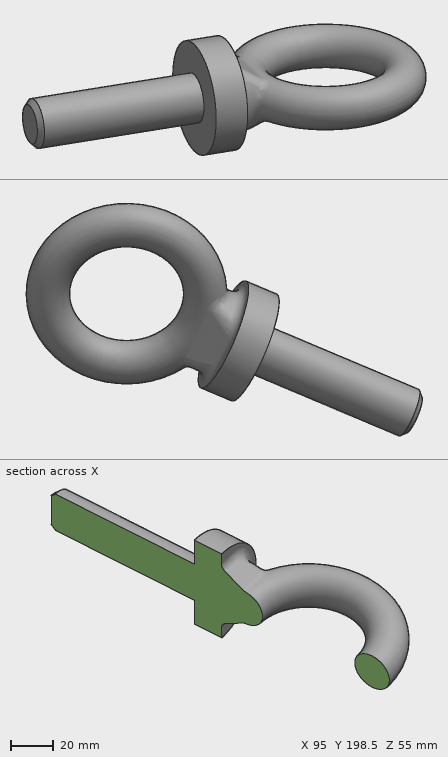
import cadquery as cq

total_length = 198.5
ring_outer_diameter = 95.0
bar_diameter = 20.6
collar_diameter = 55.0
collar_thickness = 16.0
shank_diameter = 24.0
shank_length = 84.0
shank_chamfer = 2.5

neck_diameter = 40.9
neck_flat_top = 13.5
neck_flat_spread = 8.0
neck_embedment = 4.0
neck_ridge_radius = 6.0
neck_blend_radius = 4.8
seam_margin = 1.0

ring_radius = (ring_outer_diameter - bar_diameter) / 2
shank_end = ring_outer_diameter / 2 - total_length
collar_bottom = shank_end + shank_length
collar_top = collar_bottom + collar_thickness


def rod(diameter, start, length):
    """Cylinder along +Y, beginning at the given station."""
    return cq.Workplane("XZ", origin=(0, start, 0)).circle(diameter / 2).extrude(-length)


def make_ring():
    return cq.Workplane("XY").add(cq.Solid.makeTorus(ring_radius, bar_diameter / 2))


def make_neck():
    """Round stub trimmed by a wedge that narrows toward the bar, with rounded ridges."""
    bar_radius = bar_diameter / 2
    base_half = bar_radius + neck_flat_spread
    wedge_tip = collar_top + neck_flat_top * base_half / neck_flat_spread
    neck_height = neck_flat_top + neck_embedment
    stub = rod(neck_diameter, collar_top, neck_height)
    wedge = (
        cq.Workplane("YZ")
        .moveTo(collar_top, -base_half)
        .lineTo(wedge_tip, 0)
        .lineTo(collar_top, base_half)
        .close()
        .extrude(neck_diameter / 2, both=True)
    )
    ridges = cq.selectors.TypeSelector("ELLIPSE")
    return stub.intersect(wedge).edges(ridges).fillet(neck_ridge_radius)


def blend_ring(upper):
    """Round the inside corner all around the neck where it meets the bar."""
    seam = cq.selectors.BoxSelector(
        (-neck_diameter, collar_top + seam_margin, -collar_diameter),
        (neck_diameter, -ring_radius + bar_diameter / 2, collar_diameter),
        boundingbox=True,
    )
    ring_seams = [
        edge
        for edge in upper.edges(seam).vals()
        if any(face.geomType() == "TORUS" for face in edge.ancestors(upper.val(), "Face"))
    ]
    return upper.newObject(ring_seams).fillet(neck_blend_radius)


def blend_collar(body):
    """Round the inside corner where the neck stands on the collar."""
    half = collar_diameter / 2 - seam_margin
    seam = cq.selectors.BoxSelector(
        (-half, collar_top - seam_margin, -half), (half, collar_top + seam_margin, half), boundingbox=True
    )
    return body.edges(seam).fillet(neck_blend_radius)


collar = rod(collar_diameter, collar_top, -collar_thickness)
shank = rod(shank_diameter, shank_end, shank_length).faces("<Y").chamfer(shank_chamfer)
upper = blend_ring(make_ring().union(make_neck()))
result = blend_collar(upper.union(collar)).union(shank)